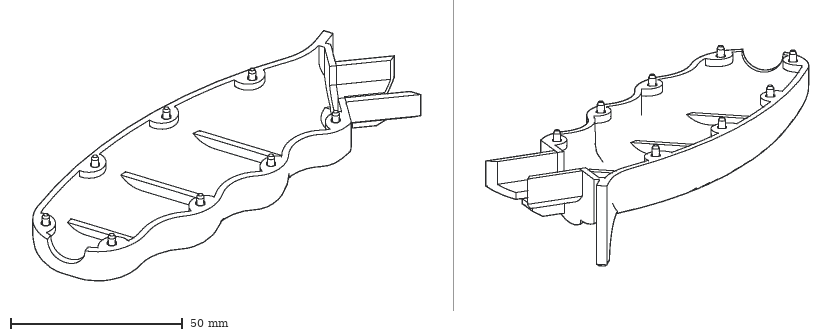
import cadquery as cq
import math


back_radius = 151.5
back_sweep = 38.9
back_corner_radius = 13.1
front_corner_radius = 16.0
heel_flat = 5.0
neck_x = 37.7
neck_y = 119.8
overrun = 12.0
finger_points = [
    (40.33, 28.01), (45.68, 42.19),
    (50.66, 54.34), (54.68, 67.43),
    (58.98, 80.43), (63.9, 87.25),
]

wall = 2.0
belly_depth = 17.5
belly_y = 60.0
belly_radius = 750.0
edge_radius = 9.8

channel_angle = 35.5
channel_x = 52.9
channel_y = 105.2

bulge_radius = 18.9
bulge_taper = 0.5
bulge_length = 4.5
bulge_skin = 1.8
bulge_top_depth = 10.0
bulge_half_width = 8.4

fin_thickness = 3.1
fin_start_y = 107.0
fin_end_y = 124.82
fin_depth = 25.0
fin_arc_y = 109.2
fin_arc_radius = 10.7
fin_chamfer = 0.7

pin_places = [
    (28.95, 95.6, 150), (14.7, 68.1, 157), (6.2, 38.45, 172), (5.6, 7.3, 211),
    (27.0, 7.3, 322), (41.7, 35.7, 344), (51.9, 61.5, 350), (59.6, 88.4, 0),
]
boss_radius = 4.9
boss_offset = 2.1
boss_depth = 2.2
pin_diameter = 2.1
pin_height = 3.0
pin_chamfer = 0.4
pin_chamfer_height = 0.8
pin_groove_diameter = 2.7
pin_groove_depth = 0.4

rib_first_y = 25.15
rib_pitch = 27.0
rib_count = 3
rib_thickness = 2.0
rib_top_z = -12.0

cable_x = back_corner_radius + heel_flat / 2
cable_radius = 6.1

channel_half_width = 9.7
channel_belly_depth = 12.1
channel_belly_radius = 13.1
channel_length = 45.0
channel_end_x = 61.46
channel_end_y = 110.1
window_start = 1.8
window_half_width = 4.5

latch_start = 2.9
latch_end = 13.1
latch_half_width = 3.7
latch_top_z = -11.0
latch_nose_z = -12.6
latch_bottom_z = -14.6
latch_nose_length = 3.2

far = 200.0

channel_frame = cq.Plane(
    origin=(channel_x, channel_y, 0),
    xDir=(math.cos(math.radians(channel_angle)), math.sin(math.radians(channel_angle)), 0),
    normal=(0, 0, 1),
)
section_frame = cq.Plane(
    origin=channel_frame.origin, xDir=channel_frame.yDir, normal=channel_frame.xDir
)


def grip_outline():
    """Closed plan outline of the grip, running on above the neck."""
    sweep = math.radians(back_sweep)
    back_end = (
        back_radius * (1 - math.cos(sweep)),
        back_corner_radius + back_radius * math.sin(sweep),
    )
    corner = math.sqrt(0.5)
    front_x = back_corner_radius + heel_flat
    overrun_y = neck_y + overrun
    outline = (
        cq.Workplane("XY")
        .moveTo(back_corner_radius, 0)
        .lineTo(front_x, 0)
        .threePointArc(
            (front_x + front_corner_radius * corner, front_corner_radius * (1 - corner)),
            (front_x + front_corner_radius, front_corner_radius),
        )
    )
    for point in finger_points:
        outline = outline.tangentArcPoint(point, relative=False)
    knuckle_x, knuckle_y = finger_points[-1]
    heading = outline.val().tangentAt(1)
    return (
        outline
        .lineTo(knuckle_x + heading.x / heading.y * (overrun_y - knuckle_y), overrun_y)
        .lineTo(neck_x, overrun_y)
        .lineTo(neck_x, neck_y)
        .tangentArcPoint(back_end, relative=False)
        .threePointArc(
            (back_radius * (1 - math.cos(sweep / 2)),
             back_corner_radius + back_radius * math.sin(sweep / 2)),
            (0, back_corner_radius),
        )
        .threePointArc(
            (back_corner_radius * (1 - corner), back_corner_radius * (1 - corner)),
            (back_corner_radius, 0),
        )
        .close()
    )


def trim_prism(inset):
    """Space below the neck and behind the front wall, moved inwards by inset."""
    behind_wall = (
        cq.Workplane(channel_frame)
        .rect(far, 2 * far)
        .extrude(-far)
        .translate(channel_frame.xDir * (-far / 2 - inset))
    )
    below_neck = (
        cq.Workplane("XY")
        .box(2 * far, far, 2 * far)
        .translate((0, neck_y - inset - far / 2, 0))
    )
    return behind_wall.intersect(below_neck)


def grip_solid(inset):
    """Grip body with a curved floor and rounded lower edges, moved inwards by inset."""
    outline = grip_outline()
    if inset:
        outline = outline.offset2D(-inset)
    depth = belly_depth - inset
    belly = (
        cq.Workplane("YZ")
        .center(belly_y, belly_radius - depth)
        .circle(belly_radius)
        .extrude(far, both=True)
    )
    solid = outline.extrude(-far).intersect(belly)
    solid = solid.faces("<Z").edges("not(>Y)").fillet(edge_radius - inset)
    return solid.intersect(trim_prism(inset))


def bulge_solid(start, radius, half_width):
    """Cone about the channel axis that lowers the floor; it starts at a depth into the grip."""
    cone = (
        cq.Workplane(section_frame)
        .workplane(offset=-start)
        .circle(radius - bulge_taper * start)
        .workplane(offset=-bulge_length)
        .circle(radius - bulge_taper * (start + bulge_length))
        .loft()
    )
    limit = (
        cq.Workplane(channel_frame)
        .workplane(offset=-bulge_top_depth)
        .rect(far, 2 * half_width)
        .extrude(-far)
    )
    return cone.intersect(limit)


def guard_fin():
    """Fin that continues the back beyond the neck, with a quarter-round cut below."""
    fin = (
        cq.Workplane("XY")
        .box(fin_thickness, fin_end_y - fin_start_y, fin_depth, centered=False)
        .translate((neck_x, fin_start_y, -fin_depth))
    )
    cut = (
        cq.Workplane("YZ")
        .center(fin_arc_y, -fin_depth)
        .circle(fin_arc_radius)
        .extrude(far)
    )
    return fin.cut(cut).edges("%CIRCLE or <Z").chamfer(fin_chamfer)


def ribs():
    """Cross ribs standing on the floor."""
    bars = cq.Workplane("XY")
    for index in range(rib_count):
        bars = bars.union(
            cq.Workplane("XY")
            .box(far, rib_thickness, far, centered=(True, True, False))
            .translate((0, rib_first_y + index * rib_pitch, rib_top_z - far))
        )
    return bars


def bosses():
    """Round pads below the rim that carry the pins."""
    pads = cq.Workplane("XY")
    for x, y, angle in pin_places:
        centre = (
            x + boss_offset * math.cos(math.radians(angle)),
            y + boss_offset * math.sin(math.radians(angle)),
        )
        pads = pads.union(cq.Workplane("XY").center(*centre).circle(boss_radius).extrude(-boss_depth))
    return pads


def pins():
    """Locating pins with a bevelled tip, rooted in the bosses."""
    half = pin_diameter / 2
    shoulder = pin_height - pin_chamfer_height
    profile = [
        (0, -pin_groove_depth), (half, -pin_groove_depth), (half, shoulder),
        (half - pin_chamfer, pin_height), (0, pin_height),
    ]
    pin = cq.Workplane("XZ").polyline(profile).close().revolve(360, (0, 0), (0, 1))
    places = [(x, y) for x, y, _ in pin_places]
    return cq.Workplane("XY").pushPoints(places).eachpoint(lambda place: pin.val().moved(place))


def channel_profile(inset):
    """Section of the channel: straight sides and a rounded belly, moved inwards by inset."""
    half = channel_half_width - inset
    radius = channel_belly_radius - inset
    centre_z = channel_belly_radius - channel_belly_depth
    side_z = centre_z - math.sqrt(radius ** 2 - half ** 2)
    return (
        cq.Workplane(section_frame)
        .moveTo(-half, 0)
        .lineTo(-half, side_z)
        .threePointArc((0, centre_z - radius), (half, side_z))
        .lineTo(half, 0)
        .close()
    )


def make_shell():
    """Hollow grip with fin, ribs, bosses and pins, opened for the cable and the channel."""
    outer = grip_solid(0).union(bulge_solid(0, bulge_radius, bulge_half_width))
    cavity = grip_solid(wall).union(
        bulge_solid(wall, bulge_radius - bulge_skin, bulge_half_width - wall)
    )
    shell = outer.union(guard_fin()).cut(cavity)
    shell = shell.union(ribs().union(bosses()).intersect(cavity))

    cable_hole = (
        cq.Workplane("XZ").center(cable_x, 0).circle(cable_radius).extrude(-2 * wall)
    )
    mouth = channel_profile(wall).extrude(-2 * wall)
    grooves = (
        cq.Workplane("XY")
        .pushPoints([(x, y) for x, y, _ in pin_places])
        .circle(pin_groove_diameter / 2)
        .extrude(-pin_groove_depth)
    )
    return shell.cut(cable_hole).cut(mouth).cut(grooves).union(pins())


def make_channel():
    """U-shaped channel on the front wall, with an open window and two trimmed ends."""
    trough = channel_profile(0).extrude(channel_length).cut(
        channel_profile(wall).extrude(channel_length)
    )
    window = (
        cq.Workplane(channel_frame)
        .center(window_start + far / 2, 0)
        .rect(far, 2 * window_half_width)
        .extrude(-far)
    )
    end_trim = (
        cq.Workplane("XY")
        .box(far, far, far, centered=(False, False, True))
        .translate((channel_end_x, channel_end_y, 0))
    )
    return trough.cut(window).cut(end_trim)


def make_latch():
    """Block with a sloped nose that sits with clearance in the channel window."""
    side_frame = cq.Plane(
        origin=channel_frame.origin, xDir=channel_frame.xDir, normal=-channel_frame.yDir
    )
    profile = [
        (latch_start, latch_top_z),
        (latch_end, latch_top_z),
        (latch_end, latch_nose_z),
        (latch_end - latch_nose_length, latch_bottom_z),
        (latch_start, latch_bottom_z),
    ]
    return cq.Workplane(side_frame).polyline(profile).close().extrude(latch_half_width, both=True)


shell = make_shell()
channel = make_channel()
latch = make_latch()

result = cq.Compound.makeCompound([body.solids().val() for body in (shell, channel, latch)])